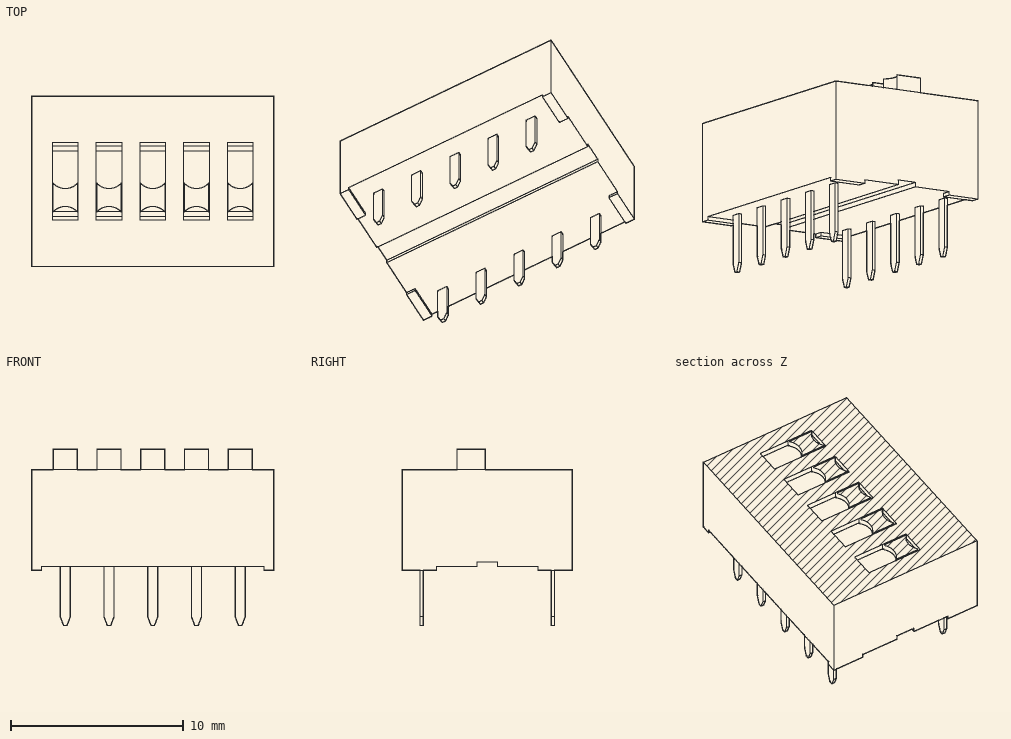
import cadquery as cq

BODY_LENGTH = 14.06
BODY_WIDTH = 9.9
BODY_HEIGHT = 5.85

FOOT_HEIGHT = 0.21
FOOT_LENGTH = 0.58
FOOT_GAP = 5.88
GROOVE_WIDTH = 1.18
GROOVE_DEPTH = 0.48

SWITCH_COUNT = 5
ROW_SPACING = 7.62
PITCH = ROW_SPACING / 3
SWITCH_X = [(i - (SWITCH_COUNT - 1) / 2) * PITCH for i in range(SWITCH_COUNT)]

WINDOW_WIDTH = 1.5
WINDOW_LENGTH = 4.5
MOUTH_CHAMFER = 0.2
LEDGE_DEPTH = 0.22
LEDGE_WIDTH = 0.3
WELL_DEPTH = 0.89

KNOB_WIDTH = 1.4
KNOB_LENGTH = 1.66
KNOB_HEIGHT = 1.2
KNOB_Y = -0.94
KNOB_HOLLOW = 0.31

PIN_WIDTH = 0.6
PIN_THICKNESS = 0.2
PIN_LENGTH = 3.2
PIN_TIP_WIDTH = 0.21
PIN_TIP_LENGTH = 0.52


def make_body():
    """Housing block with corner feet and a groove along X underneath."""
    body = cq.Workplane("XY").box(
        BODY_LENGTH, BODY_WIDTH, BODY_HEIGHT, centered=(True, True, False)
    ).translate((0, 0, -BODY_HEIGHT))

    def cut_below(block, length, width, depth):
        recess = cq.Workplane("XY", origin=(0, 0, -BODY_HEIGHT)).rect(length, width).extrude(depth)
        return block.cut(recess)

    body = cut_below(body, BODY_LENGTH - 2 * FOOT_LENGTH, BODY_WIDTH, FOOT_HEIGHT)
    body = cut_below(body, BODY_LENGTH, FOOT_GAP, FOOT_HEIGHT)
    return cut_below(body, BODY_LENGTH, GROOVE_WIDTH, GROOVE_DEPTH)


def make_window():
    """Volume of one window, drawn as a YZ section and extruded along X."""
    mouth_half = WINDOW_LENGTH / 2
    ledge_half = mouth_half - MOUTH_CHAMFER
    well_half = ledge_half - LEDGE_WIDTH
    return (
        cq.Workplane("YZ")
        .moveTo(-mouth_half, 0)
        .lineTo(-ledge_half, -MOUTH_CHAMFER)
        .lineTo(-ledge_half, -LEDGE_DEPTH)
        .lineTo(-well_half, -LEDGE_DEPTH)
        .lineTo(-well_half, -WELL_DEPTH)
        .lineTo(well_half, -WELL_DEPTH)
        .lineTo(well_half, -LEDGE_DEPTH)
        .lineTo(ledge_half, -LEDGE_DEPTH)
        .lineTo(ledge_half, -MOUTH_CHAMFER)
        .lineTo(mouth_half, 0)
        .close()
        .extrude(WINDOW_WIDTH / 2, both=True)
    )


def make_knob():
    """Knob standing on the well floor, with concave faces toward -Y and +Y."""
    half_width = KNOB_WIDTH / 2
    front = KNOB_Y - KNOB_LENGTH / 2
    back = KNOB_Y + KNOB_LENGTH / 2
    return (
        cq.Workplane("XY", origin=(0, 0, -WELL_DEPTH))
        .moveTo(-half_width, front)
        .threePointArc((0, front + KNOB_HOLLOW), (half_width, front))
        .lineTo(half_width, back)
        .threePointArc((0, back - KNOB_HOLLOW), (-half_width, back))
        .close()
        .extrude(WELL_DEPTH + KNOB_HEIGHT)
    )


def make_pin():
    """Flat pin hanging from the recessed underside, tapered to a blunt tip."""
    top = FOOT_HEIGHT - BODY_HEIGHT
    tip = -BODY_HEIGHT - PIN_LENGTH
    shoulder = tip + PIN_TIP_LENGTH
    return (
        cq.Workplane("XZ")
        .moveTo(-PIN_WIDTH / 2, top)
        .lineTo(-PIN_WIDTH / 2, shoulder)
        .lineTo(-PIN_TIP_WIDTH / 2, tip)
        .lineTo(PIN_TIP_WIDTH / 2, tip)
        .lineTo(PIN_WIDTH / 2, shoulder)
        .lineTo(PIN_WIDTH / 2, top)
        .close()
        .extrude(PIN_THICKNESS / 2, both=True)
    )


result = make_body()
window = make_window()
knob = make_knob()
pin = make_pin()

for x in SWITCH_X:
    result = result.cut(window.translate((x, 0, 0)))
    result = result.union(knob.translate((x, 0, 0)))
    for y in (-ROW_SPACING / 2, ROW_SPACING / 2):
        result = result.union(pin.translate((x, y, 0)))